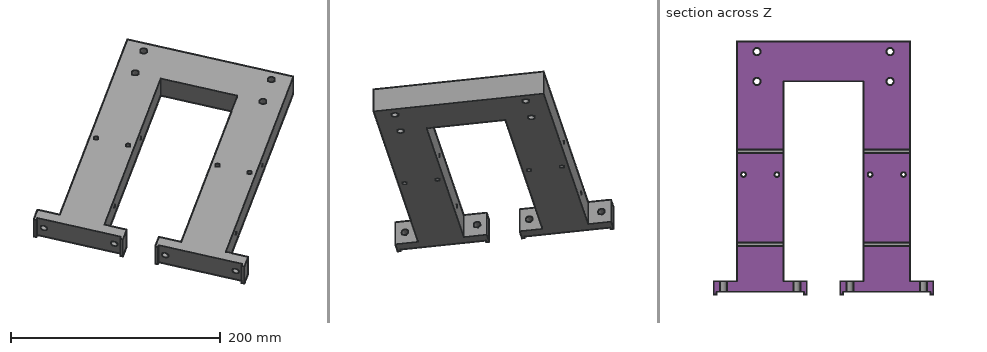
import cadquery as cq

length = 241.3
thickness = 25.3
leg_width = 44.5
leg_center_x = 60.3
foot_width = 88.8
foot_depth = 12.8
crossbar_depth = 38.1
frame_width = 2 * leg_center_x + leg_width

lip_width = 3.0
lip_height = 2.7

crossbar_hole_diameter = 6.8
crossbar_hole_x = 63.5
crossbar_hole_edge_distances = (9.7, 38.1)
leg_hole_diameter = 4.3
leg_hole_offset = 16.0
leg_hole_y = 114.4
foot_hole_diameter = 6.5
foot_hole_offset = 35.0
side_hole_diameter = 3.1
side_hole_positions_y = (48.0, 136.5)


def block(width, depth, center_x, start_y):
    """Full-thickness block centered on center_x, running toward +Y from start_y."""
    return (
        cq.Workplane("XY")
        .box(width, depth, thickness, centered=(True, False, True))
        .translate((center_x, start_y, 0))
    )


def leg_with_foot(center_x):
    leg = block(leg_width, length, center_x, 0)
    foot = block(foot_width, foot_depth, center_x, 0)
    recess = block(foot_width - 2 * lip_width, lip_height, center_x, 0)
    foot_holes = (
        cq.Workplane("XZ")
        .pushPoints([(center_x + side * foot_hole_offset, 0) for side in (-1, 1)])
        .circle(foot_hole_diameter / 2)
        .extrude(-foot_depth)
    )
    return leg.union(foot).cut(recess).cut(foot_holes)


def vertical_holes(points, diameter):
    return cq.Workplane("XY").pushPoints(points).circle(diameter / 2).extrude(thickness, both=True)


crossbar = block(frame_width, crossbar_depth, 0, length - crossbar_depth)
frame = crossbar.union(leg_with_foot(-leg_center_x)).union(leg_with_foot(leg_center_x))

crossbar_hole_points = [
    (side * crossbar_hole_x, length - edge_distance)
    for side in (-1, 1)
    for edge_distance in crossbar_hole_edge_distances
]
leg_hole_points = [
    (leg_side * leg_center_x + hole_side * leg_hole_offset, leg_hole_y)
    for leg_side in (-1, 1)
    for hole_side in (-1, 1)
]

side_holes = (
    cq.Workplane("YZ")
    .pushPoints([(y, 0) for y in side_hole_positions_y])
    .circle(side_hole_diameter / 2)
    .extrude(frame_width, both=True)
)

result = (
    frame.cut(vertical_holes(crossbar_hole_points, crossbar_hole_diameter))
    .cut(vertical_holes(leg_hole_points, leg_hole_diameter))
    .cut(side_holes)
)